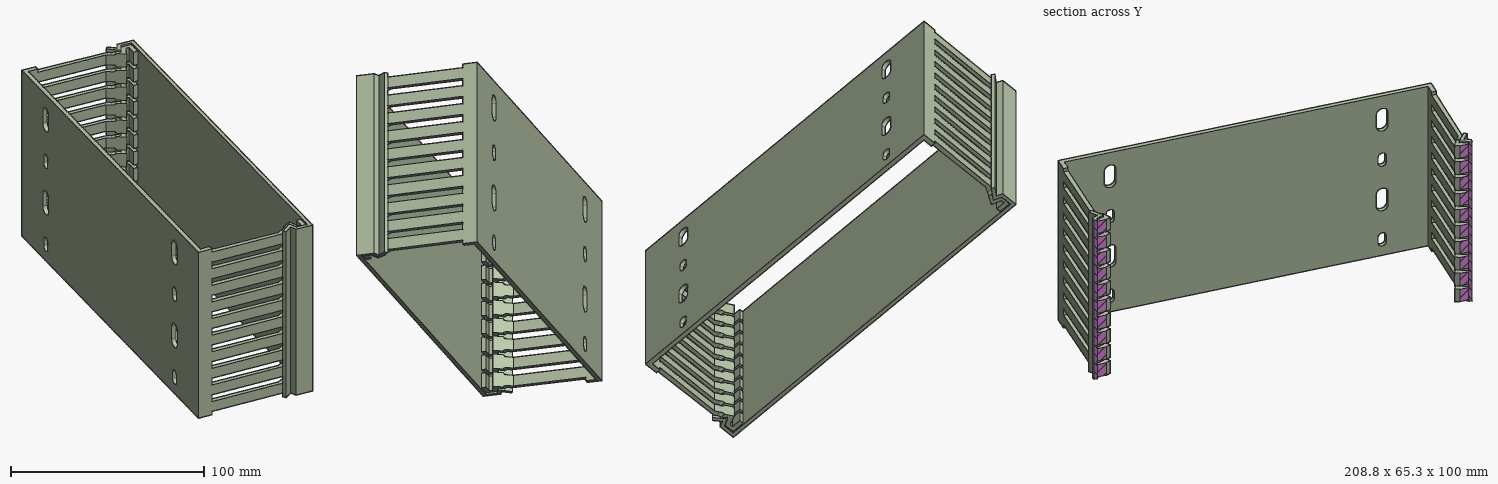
import cadquery as cq
import math


length = 100.0
height = 65.3
wall = 2.2
cover_side = 2.0
floor_thickness = 2.5
flange_thickness = 2.5
inner_width = 200.4
inner_half_width = inner_width / 2
trunk_half_width = inner_half_width + wall
cover_half_width = trunk_half_width + cover_side
floor_half_width = 102.9
trunk_height = height - wall

slope_angle = math.radians(25)
lip_angle = math.radians(38)
hook_depth = 4.4
hook_apex_y = height - 10.4
flange_reach = 5.3
hook_top_y = height - 6.4
hook_tip_y = height - 8.6
hook_bottom_y = height - 17.9

finger_pitch = 10.0
gap_width = 4.0
gap_start_y = 8.0
gap_end_center_y = height - 14.9
slit_width = 2.0

hole_half_spacing = 75.0
hole_pitch = 50.0
holes_per_column = 2
large_hole = (6.5, 14.0, 35.0)
small_hole = (4.5, 8.2, 10.0)

contact_apex = (trunk_half_width - hook_depth, hook_apex_y)
contact_top = (trunk_half_width, hook_apex_y + hook_depth * math.tan(slope_angle))
contact_bottom = (trunk_half_width, hook_apex_y - hook_depth / math.tan(lip_angle))


def extrude_mirrored(half_outline):
    """Extrude a section along the duct, given its +X half and mirrored about the centre plane."""
    mirrored = [(-x, y) for x, y in reversed(half_outline)]
    return cq.Workplane("XY").polyline(half_outline + mirrored).close().extrude(length)


def cover_outline():
    slope = math.tan(slope_angle)
    lip = math.tan(lip_angle)
    corner_y = contact_top[1] + cover_side * slope - cover_side / math.cos(slope_angle)
    tip_y = contact_bottom[1] - cover_side / lip + cover_side / math.sin(lip_angle)
    notch_depth = (corner_y - tip_y) / (slope + 1 / lip)
    notch = (cover_half_width - notch_depth, corner_y - notch_depth * slope)
    tip_outer = (cover_half_width, tip_y)
    tip_inner = (
        cover_half_width - cover_side * math.cos(lip_angle),
        tip_y - cover_side * math.sin(lip_angle),
    )
    return [
        (cover_half_width, height),
        (cover_half_width, corner_y),
        notch,
        tip_outer,
        tip_inner,
        contact_apex,
        contact_top,
        (trunk_half_width, trunk_height),
    ]


def trunk_outline():
    flange_x = inner_half_width - flange_reach
    return [
        (floor_half_width, 0),
        contact_bottom,
        contact_apex,
        contact_top,
        (trunk_half_width, trunk_height),
        (flange_x, trunk_height),
        (flange_x, trunk_height - flange_thickness),
        (inner_half_width, trunk_height - flange_thickness),
        (inner_half_width, hook_top_y),
        (flange_x, hook_tip_y),
        (inner_half_width, hook_bottom_y),
        (inner_half_width, floor_thickness),
    ]


def finger_gap(center_z):
    """Gap between two fingers: square at the floor end, round at the hook end, then a thin slit."""
    half_gap = gap_width / 2
    half_slit = slit_width / 2
    slit_start_y = gap_end_center_y + math.sqrt(half_gap**2 - half_slit**2)
    round_offset = half_gap * math.sqrt(0.5)
    round_mid_y = gap_end_center_y + round_offset
    return (
        cq.Workplane("YZ", origin=(0, 0, center_z))
        .moveTo(gap_start_y, -half_gap)
        .lineTo(gap_end_center_y, -half_gap)
        .threePointArc((round_mid_y, -round_offset), (slit_start_y, -half_slit))
        .lineTo(height, -half_slit)
        .lineTo(height, half_slit)
        .lineTo(slit_start_y, half_slit)
        .threePointArc((round_mid_y, round_offset), (gap_end_center_y, half_gap))
        .lineTo(gap_start_y, half_gap)
        .close()
        .extrude(floor_half_width, both=True)
    )


def mounting_holes(width, hole_height, lowest_z):
    centers = [
        (side * hole_half_spacing, lowest_z + row * hole_pitch)
        for side in (-1, 1)
        for row in range(holes_per_column)
    ]
    slots = cq.Workplane("XZ").pushPoints(centers).slot2D(hole_height, width, 90)
    return slots.extrude(-floor_thickness)


def make_trunk():
    trunk = extrude_mirrored(trunk_outline())
    for gap in range(round(length / finger_pitch) + 1):
        trunk = trunk.cut(finger_gap(gap * finger_pitch))
    for hole in (large_hole, small_hole):
        trunk = trunk.cut(mounting_holes(*hole))
    return trunk


trunk = make_trunk()
cover = extrude_mirrored(cover_outline())

result = cq.Compound.makeCompound([trunk.val(), cover.val()])